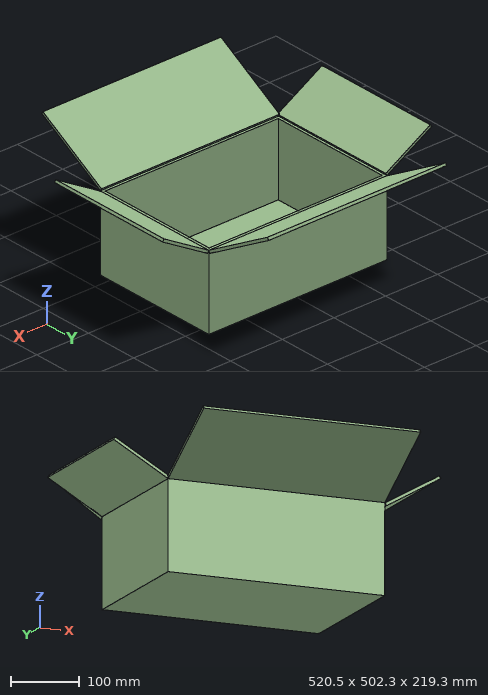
import cadquery as cq
import math

overall_length = 520.5
box_width = 240.0
box_height = 140.0
board = 5.0
end_flap_length = 100.0
side_flap_length = 150.0
flap_angle = 30.0

angle = math.radians(flap_angle)
thickness_reach = board * math.sin(angle)
box_length = overall_length - 2 * end_flap_length * math.cos(angle) - thickness_reach


def make_box():
    """Open-topped box with its base on Z = 0."""
    outer = cq.Workplane("XY").box(box_length, box_width, box_height, centered=(True, True, False))
    cavity = (
        cq.Workplane("XY")
        .workplane(offset=board)
        .box(box_length - 2 * board, box_width - 2 * board, box_height, centered=(True, True, False))
    )
    return outer.cut(cavity)


def make_flap(length, width, hinge_distance, turn, above_hinge):
    """Sloping plate with a long edge on the outer rim, turned about Z from the +X side.

    The plate's thickness lies above or below the hinge edge.
    """
    thickness_offset = 0 if above_hinge else -board
    return (
        cq.Workplane("XY")
        .box(length, width, board, centered=(False, True, False))
        .translate((0, 0, thickness_offset))
        .rotate((0, 0, 0), (0, 1, 0), -flap_angle)
        .translate((hinge_distance, 0, box_height))
        .rotate((0, 0, 0), (0, 0, 1), turn)
    )


box = make_box()

right_flap = make_flap(end_flap_length, box_width, box_length / 2, 0, False)
back_flap = make_flap(side_flap_length, box_length, box_width / 2, 90, False)
left_flap = make_flap(end_flap_length, box_width, box_length / 2, 180, True)
front_flap = make_flap(side_flap_length, box_length, box_width / 2, 270, True)

left_flap = left_flap.cut(front_flap)

result = cq.Compound.makeCompound(
    [box.val(), *right_flap.vals(), *back_flap.vals(), *left_flap.vals(), *front_flap.vals()]
)